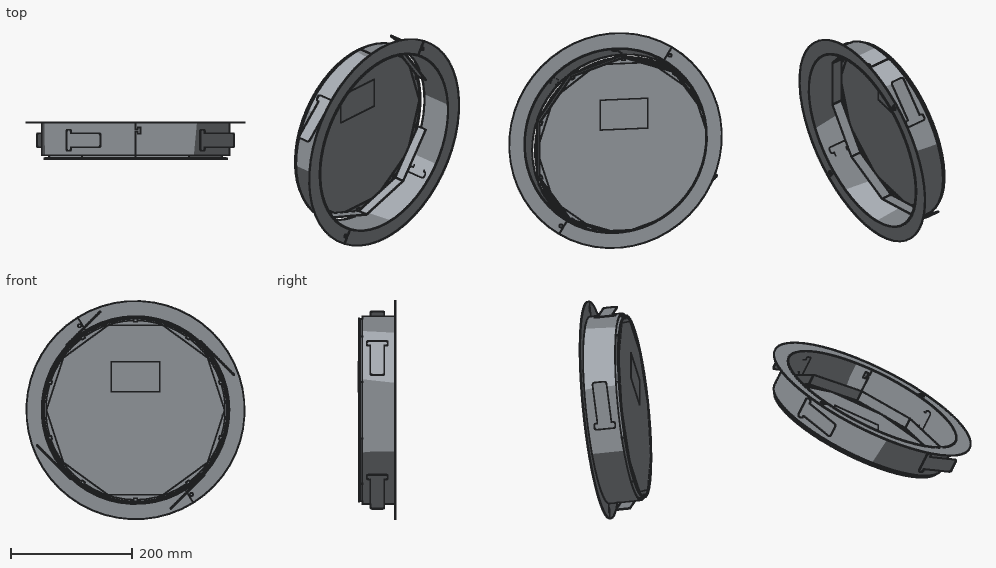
import cadquery as cq
import math

overall_depth = 61.1
back_y = overall_depth / 2
front_y = -overall_depth / 2

sheet_thickness = 1.5
flange_radius = 180.0
flange_thickness = sheet_thickness
flange_joint_angle = 122.0
flange_knob_radius = 2.6
flange_knob_offset = 4.6
flange_neck_width = 2.2

band_outer_radius = 155.0
band_thickness = sheet_thickness
band_inner_radius = band_outer_radius - band_thickness
band_depth = 53.3
seam_gap = 0.3
key_y = 16.5
key_neck_width = 3.6
key_neck_length = 3.6
key_head_width = 10.4
key_head_length = 4.5

label_width = 80.0
label_height = 50.0
label_thickness = 0.1
label_center_z = 55.0

lid_radius = 151.0
lid_thickness = 1.0

frame_sides = 10
frame_open_side_angle = 180
frame_corner_radius = 150.5
frame_wall_thickness = sheet_thickness
frame_wall_height = 18.0
frame_wall_gap = 1.0
frame_foot_radius = 149.2
frame_foot_thickness = sheet_thickness
frame_foot_bevel_angle = 45
frame_foot_inner_apothem = 139.6
frame_notch_width = 5.5
frame_notch_depth = 4.0
side_angle = 360 / frame_sides
half_side_angle = side_angle / 2

clip_count = 4
clip_first_angle = 45
clip_thickness = sheet_thickness
clip_start = -5.0
clip_length = 79.0
clip_width = 23.4
clip_head_width = 35.0
clip_head_length = 10.5
clip_center_y = 0.6
clip_end_fillet = 4.0
clip_head_fillet = 3.5

flange_front_y = back_y - flange_thickness
band_front_y = flange_front_y - band_depth
lid_front_y = front_y + label_thickness
lid_back_y = lid_front_y + lid_thickness
foot_back_y = lid_back_y + frame_foot_thickness


def section_at(y):
    """Workplane with local axes X and Z at the given Y; extruding goes toward -Y."""
    return cq.Workplane("XZ", origin=(0, y, 0))


def turn(body, angle):
    """Turn a body about Y so that local +X swings toward +Z by the angle in degrees."""
    return body.rotate((0, 0, 0), (0, 1, 0), -angle)


def flange_knob():
    neck = (
        section_at(back_y)
        .center((flange_radius + band_inner_radius) / 2, flange_knob_offset / 2)
        .rect(flange_neck_width, flange_knob_offset)
        .extrude(flange_thickness)
    )
    head = (
        section_at(back_y)
        .center((flange_radius + band_inner_radius) / 2, flange_knob_offset)
        .circle(flange_knob_radius)
        .extrude(flange_thickness)
    )
    return neck.union(head)


def flange_half():
    half_ring = (
        section_at(back_y)
        .moveTo(flange_radius, 0)
        .threePointArc((0, -flange_radius), (-flange_radius, 0))
        .lineTo(-band_inner_radius, 0)
        .threePointArc((0, -band_inner_radius), (band_inner_radius, 0))
        .close()
        .extrude(flange_thickness)
    )
    knob = flange_knob()
    return half_ring.union(knob).cut(turn(knob, 180))


flange_halves = [turn(flange_half(), flange_joint_angle + turn_angle) for turn_angle in (0, 180)]


def seam_cutter():
    """Narrow gap that follows the seam and goes round the T-shaped key."""
    neck_half = key_neck_width / 2
    head_half = key_head_width / 2
    head_end = key_neck_length + key_head_length
    path = [
        (0, flange_front_y + seam_gap),
        (0, key_y + neck_half),
        (key_neck_length, key_y + neck_half),
        (key_neck_length, key_y + head_half),
        (head_end, key_y + head_half),
        (head_end, key_y - head_half),
        (key_neck_length, key_y - head_half),
        (key_neck_length, key_y - neck_half),
        (0, key_y - neck_half),
        (0, band_front_y - seam_gap),
    ]
    return (
        cq.Workplane("XY", origin=(0, 0, band_inner_radius - 2 * band_thickness))
        .polyline(path)
        .offset2D(seam_gap / 2)
        .extrude(4 * band_thickness)
    )


def rolled_band():
    ring = section_at(flange_front_y).circle(band_outer_radius).circle(band_inner_radius).extrude(band_depth)
    return ring.cut(seam_cutter())


band = rolled_band()


def clip_plate(width, length):
    """Plate tangent to the band, reaching toward -Z from the head end of the clip."""
    return (
        cq.Workplane("YZ", origin=(band_outer_radius, clip_center_y, -clip_start - length / 2))
        .rect(width, length)
        .extrude(clip_thickness)
    )


def spring_clip():
    head = clip_plate(clip_head_width, clip_head_length).edges("|X").fillet(clip_head_fillet)
    strip = clip_plate(clip_width, clip_length).edges("|X and <Z").fillet(clip_end_fillet)
    return strip.union(head)


clips = [
    turn(spring_clip(), clip_first_angle + index * 360 / clip_count)
    for index in range(clip_count)
]


lid = section_at(lid_back_y).circle(lid_radius).extrude(lid_thickness)
label = (
    section_at(lid_front_y)
    .center(0, label_center_z)
    .rect(label_width, label_height)
    .extrude(label_thickness)
)


def frame_foot():
    foot = (
        section_at(foot_back_y)
        .circle(frame_foot_radius)
        .extrude(frame_foot_thickness, taper=frame_foot_bevel_angle)
    )
    opening = (
        section_at(foot_back_y)
        .polygon(frame_sides, 2 * frame_foot_inner_apothem, circumscribed=True)
        .extrude(frame_foot_thickness)
    )
    foot = foot.cut(turn(opening, half_side_angle))
    notch = (
        section_at(foot_back_y)
        .center(frame_foot_radius - frame_notch_depth / 2, 0)
        .rect(frame_notch_depth, frame_notch_width)
        .extrude(frame_foot_thickness)
    )
    for index in range(frame_sides):
        foot = foot.cut(turn(notch, half_side_angle + index * side_angle))
    return foot


def frame_wall():
    apothem = frame_corner_radius * math.cos(math.radians(half_side_angle))
    side_length = 2 * frame_corner_radius * math.sin(math.radians(half_side_angle))
    return (
        section_at(foot_back_y + frame_wall_height)
        .center(apothem - frame_wall_thickness / 2, 0)
        .rect(frame_wall_thickness, side_length - frame_wall_gap)
        .extrude(frame_wall_height)
    )


def lid_frame():
    frame = frame_foot()
    for index in range(frame_sides):
        angle = index * side_angle
        if angle != frame_open_side_angle:
            frame = frame.union(turn(frame_wall(), angle))
    return frame


frame = lid_frame()

result = cq.Compound.makeCompound(
    [half.val() for half in flange_halves]
    + [band.val()]
    + [clip.val() for clip in clips]
    + [frame.val(), lid.val(), label.val()]
)